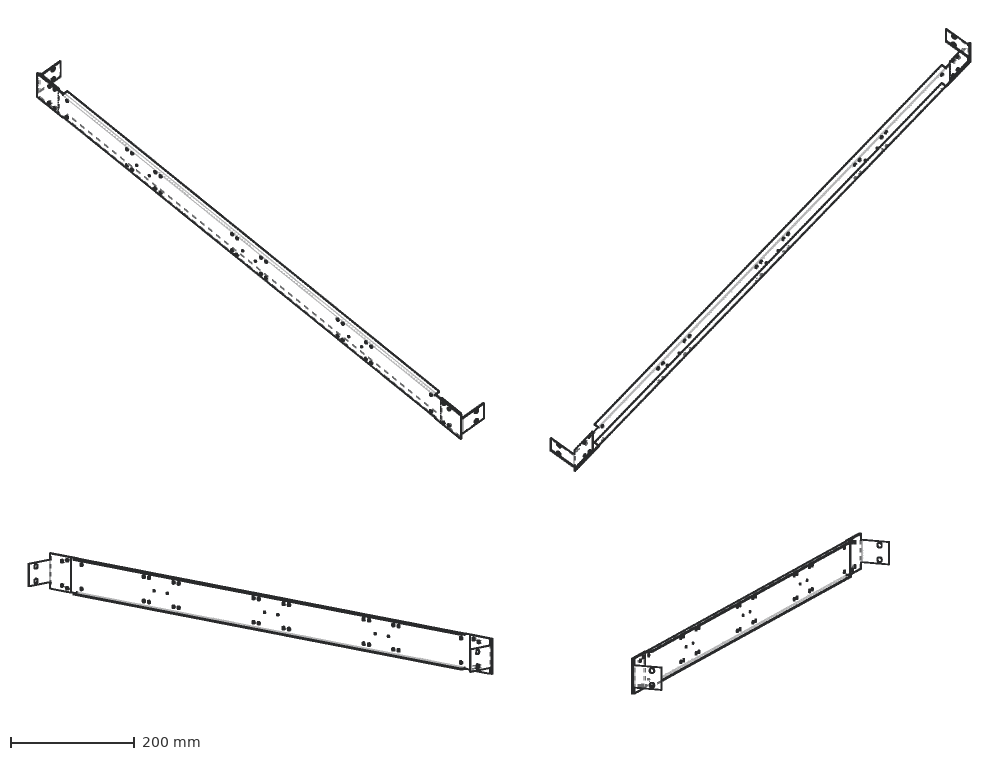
import cadquery as cq

SHEET = 2.0
BEND_RADIUS = 3.4
INNER_RADIUS = BEND_RADIUS - SHEET

PANEL_LENGTH = 1000.0
PANEL_HEIGHT = 59.0
END_HEIGHT = 58.0
FLANGE_LENGTH = 878.0
FLANGE_DEPTH = 10.0

EDGE_HOLE_DIAMETER = 5.0
EDGE_HOLE_Z = 20.0
PAIR_PITCH = 12.0
PAIR_CENTER_X = (34.0, 215.0, 282.0)
FLANGE_END_HOLE_X = 429.0
END_INNER_HOLE_X = 459.0
END_INNER_HOLE_Z = 23.0
END_OUTER_HOLE_X = END_INNER_HOLE_X + PAIR_PITCH

SMALL_HOLE_DIAMETER = 3.0
SMALL_HOLE_PITCH = 30.0
SMALL_PAIR_SPACING = 250.0

BRACKET_SPAN = 1001.0
TAB_HEIGHT = 37.0
BRACKET_LEG = 49.0
TAB_STRAIGHT = 46.0
TAB_BEND_Y = SHEET + BEND_RADIUS
TAB_TIP_Y = TAB_BEND_Y + TAB_STRAIGHT
TAB_HOLE_DIAMETER = 8.0
TAB_HOLE_Y = 35.0
TAB_HOLE_Z = 12.0

SIDES = (-1, 1)


def rounded_bar(front_y, height, radius):
    """Bar of the flanges' length, from front_y to the flange tips, its two front edges rounded."""
    depth = FLANGE_DEPTH - front_y
    return (
        cq.Workplane("XY")
        .box(FLANGE_LENGTH, depth, height)
        .translate((0, front_y + depth / 2, 0))
        .edges("|X and <Y")
        .fillet(radius)
    )


def make_panel_blank():
    """Channel-shaped middle stretch joined with the two flat ends."""
    outside = rounded_bar(0, PANEL_HEIGHT, BEND_RADIUS)
    inside = rounded_bar(SHEET, PANEL_HEIGHT - 2 * SHEET, INNER_RADIUS)
    blank = outside.cut(inside)

    end_length = (PANEL_LENGTH - FLANGE_LENGTH) / 2
    end_center_x = (PANEL_LENGTH - end_length) / 2
    for side in SIDES:
        flat_end = cq.Workplane("XY").box(end_length, SHEET, END_HEIGHT)
        blank = blank.union(flat_end.translate((side * end_center_x, SHEET / 2, 0)))
    return blank


def through_holes(points, diameter):
    """Round bars along Y through the web and the bracket legs behind it, at the given (X, Z) points."""
    return (
        cq.Workplane("XZ")
        .pushPoints(points)
        .circle(diameter / 2)
        .extrude(3 * SHEET, both=True)
    )


def edge_hole_points():
    """Holes of one quarter of the web, mirrored to the other three quarters."""
    quarter = [
        (FLANGE_END_HOLE_X, EDGE_HOLE_Z),
        (END_INNER_HOLE_X, END_INNER_HOLE_Z),
        (END_OUTER_HOLE_X, EDGE_HOLE_Z),
    ]
    for center_x in PAIR_CENTER_X:
        for side in SIDES:
            quarter.append((center_x + side * PAIR_PITCH / 2, EDGE_HOLE_Z))
    return [(x_side * x, z_side * z) for x, z in quarter for x_side in SIDES for z_side in SIDES]


def small_hole_points():
    """Pairs of small holes at mid-height: one pair at mid-length and one to each side of it."""
    return [
        (step * SMALL_PAIR_SPACING + side * SMALL_HOLE_PITCH / 2, 0)
        for step in (-1, 0, 1)
        for side in SIDES
    ]


def make_panel():
    """Flanged panel with all its holes."""
    blank = make_panel_blank()
    drilled = blank.cut(through_holes(edge_hole_points(), EDGE_HOLE_DIAMETER))
    return drilled.cut(through_holes(small_hole_points(), SMALL_HOLE_DIAMETER))


def make_tab():
    """Bend and straight tab of the +X bracket, with the two holes of the tab."""
    outer_x = BRACKET_SPAN / 2
    bend_x = outer_x - BEND_RADIUS
    blank = (
        cq.Workplane("XY")
        .moveTo(bend_x, SHEET)
        .radiusArc((outer_x, TAB_BEND_Y), -BEND_RADIUS)
        .lineTo(outer_x, TAB_TIP_Y)
        .lineTo(outer_x - SHEET, TAB_TIP_Y)
        .lineTo(outer_x - SHEET, TAB_BEND_Y)
        .radiusArc((bend_x, 2 * SHEET), INNER_RADIUS)
        .close()
        .extrude(TAB_HEIGHT / 2, both=True)
    )
    holes = (
        cq.Workplane("YZ", origin=(outer_x, 0, 0))
        .pushPoints([(TAB_HOLE_Y, z_side * TAB_HOLE_Z) for z_side in SIDES])
        .circle(TAB_HOLE_DIAMETER / 2)
        .extrude(2 * SHEET, both=True)
    )
    return blank.cut(holes)


def make_leg():
    """Flat leg of the +X bracket, up to its bend, with the web's edge holes carried through it."""
    length = BRACKET_LEG - BEND_RADIUS
    center_x = BRACKET_SPAN / 2 - BEND_RADIUS - length / 2
    blank = cq.Workplane("XY").box(length, SHEET, END_HEIGHT).translate((center_x, 1.5 * SHEET, 0))
    return blank.cut(through_holes(edge_hole_points(), EDGE_HOLE_DIAMETER))


def make_bracket(side):
    """L-shaped bracket; side is -1 for the -X end and 1 for the +X end."""
    bracket = make_leg().union(make_tab())
    return bracket if side > 0 else bracket.mirror("YZ")


panel = make_panel()
brackets = [make_bracket(side) for side in SIDES]

result = cq.Compound.makeCompound([panel.solids().val(), *(bracket.solids().val() for bracket in brackets)])